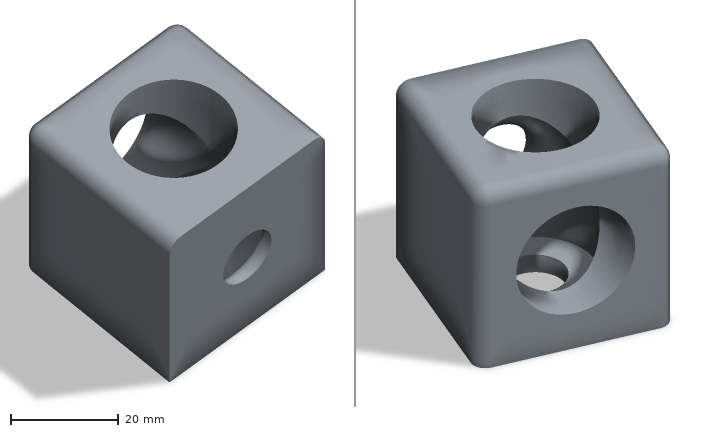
import cadquery as cq

side = 40.0
edge_radius = 3.0
bore_radius = 12.0
through_radius = 6.2
bore_depth = 36.0
floor_radius = 3.0

half = side / 2
blend_circle_radius = bore_radius - floor_radius
lip_radius = blend_circle_radius - through_radius
floor_x = bore_depth - half


def rounded_block():
    """Cube with the top front, top back, upright -X and top -X edges rounded."""
    block = cq.Workplane("XY").box(side, side, side)
    left_edges = block.faces("<X").edges("not <Z")
    return left_edges.add(block.faces(">Z").edges("<Y or >Y")).edges().fillet(edge_radius)


def top_bore():
    """Flat-floored counterbore and through hole along Z."""
    counterbore = cq.Workplane("XY").workplane(offset=half).circle(bore_radius).extrude(-bore_depth)
    through_hole = cq.Workplane("XY").workplane(offset=half).circle(through_radius).extrude(-side)
    return counterbore.union(through_hole)


def side_bore():
    """Bore along X whose wall flows through two tangent blends into a through hole."""
    profile = (
        cq.Workplane("XZ")
        .moveTo(-half, 0)
        .lineTo(-half, bore_radius)
        .lineTo(floor_x - floor_radius, bore_radius)
        .radiusArc((floor_x, blend_circle_radius), floor_radius)
        .radiusArc((floor_x + lip_radius, through_radius), -lip_radius)
        .lineTo(half, through_radius)
        .lineTo(half, 0)
        .close()
    )
    return profile.revolve(360, (0, 0, 0), (1, 0, 0))


result = rounded_block().cut(top_bore()).cut(side_bore())